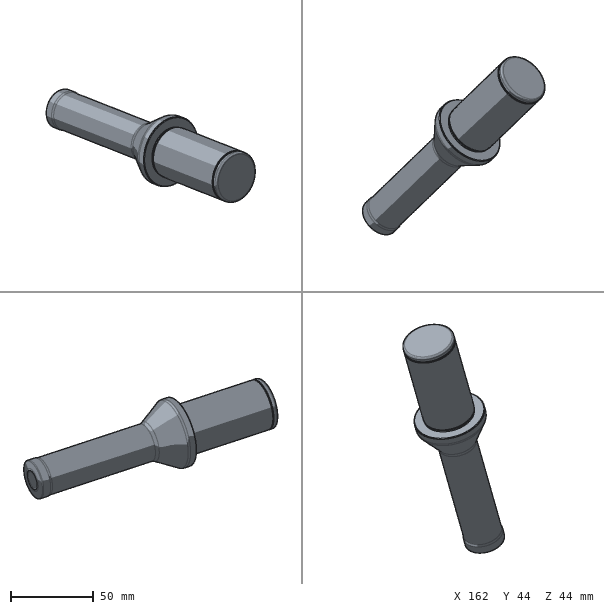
import cadquery as cq
import math

total_length = 162.0
dome_rise = 0.6
dome_mid_fraction = 0.4
head_end = 6.0
shaft_start = 7.5
flange_rim_start = 97.7
flange_end = 102.0
neck_end = 103.0
spigot_start = 104.0
cap_start = 158.8

head_diameter = 24.8
shaft_diameter = 24.0
flange_diameter = 44.0
neck_diameter = 31.5
spigot_diameter = 32.0

head_edge_radius = 0.5
cone_root_radius = 4.5
cone_top_radius = 2.9
cone_half_angle = 30.8
flange_chamfer = 0.5
joint_taper_length = 0.8
joint_taper_depth = 0.3
cap_edge_radius = 1.3

bead_inner_radius = 5.3
bead_crest_radius = 6.2
bead_outer_radius = 7.3
bead_height = 0.2

head_radius = head_diameter / 2
shaft_radius = shaft_diameter / 2
flange_radius = flange_diameter / 2
neck_radius = neck_diameter / 2
spigot_radius = spigot_diameter / 2

cone_angle = math.radians(cone_half_angle)


def arc_drop(radius, angle):
    """Distance from the tangent point of an arc, square to that tangent."""
    return radius * (1 - math.cos(angle))


def root_point(angle):
    """Point on the concave fillet between the shaft and the cone."""
    return (
        root_start + cone_root_radius * math.sin(angle),
        shaft_radius + arc_drop(cone_root_radius, angle),
    )


def top_point(angle):
    """Point on the convex rounding between the cone and the flange rim."""
    return (
        flange_rim_start - cone_top_radius * math.sin(angle),
        flange_radius - arc_drop(cone_top_radius, angle),
    )


flank_rise = (
    flange_radius - shaft_radius
    - arc_drop(cone_root_radius, cone_angle)
    - arc_drop(cone_top_radius, cone_angle)
)
flank_length = flank_rise / math.tan(cone_angle)
root_start = (
    flange_rim_start - flank_length
    - (cone_root_radius + cone_top_radius) * math.sin(cone_angle)
)

face_edge_radius = head_radius - head_edge_radius
face_x = bead_height
dome_mid_radius = (bead_outer_radius + face_edge_radius) / 2
dome_mid_x = face_x + (dome_rise - face_x) * dome_mid_fraction
edge_mid_offset = arc_drop(head_edge_radius, math.pi / 4)


def revolve_about_x(profile):
    return profile.close().revolve(360, (0, 0, 0), (1, 0, 0))


def make_pin():
    """Nose, shaft, conical flange and spigot in one turned body."""
    profile = (
        cq.Workplane("XY")
        .moveTo(face_x, 0)
        .lineTo(face_x, bead_inner_radius)
        .lineTo(0, bead_crest_radius)
        .lineTo(face_x, bead_outer_radius)
        .threePointArc((dome_mid_x, dome_mid_radius), (dome_rise, face_edge_radius))
        .threePointArc(
            (dome_rise + edge_mid_offset, head_radius - edge_mid_offset),
            (dome_rise + head_edge_radius, head_radius),
        )
        .lineTo(head_end, head_radius)
        .lineTo(shaft_start, shaft_radius)
        .lineTo(*root_point(0))
        .threePointArc(root_point(cone_angle / 2), root_point(cone_angle))
        .lineTo(*top_point(cone_angle))
        .threePointArc(top_point(cone_angle / 2), top_point(0))
        .lineTo(flange_end - flange_chamfer, flange_radius)
        .lineTo(flange_end, flange_radius - flange_chamfer)
        .lineTo(flange_end, neck_radius)
        .lineTo(neck_end, neck_radius)
        .lineTo(spigot_start, spigot_radius)
        .lineTo(cap_start - joint_taper_length, spigot_radius)
        .lineTo(cap_start, spigot_radius - joint_taper_depth)
        .lineTo(cap_start, 0)
    )
    return revolve_about_x(profile)


def make_end_cap():
    """Disc closing the spigot end, with a rounded outer edge."""
    cap = (
        cq.Workplane("YZ", origin=(cap_start, 0, 0))
        .circle(spigot_radius)
        .extrude(total_length - cap_start)
    )
    return cap.faces(">X").edges().fillet(cap_edge_radius)


pin = make_pin()
end_cap = make_end_cap()

result = cq.Compound.makeCompound([pin.val(), end_cap.val()])